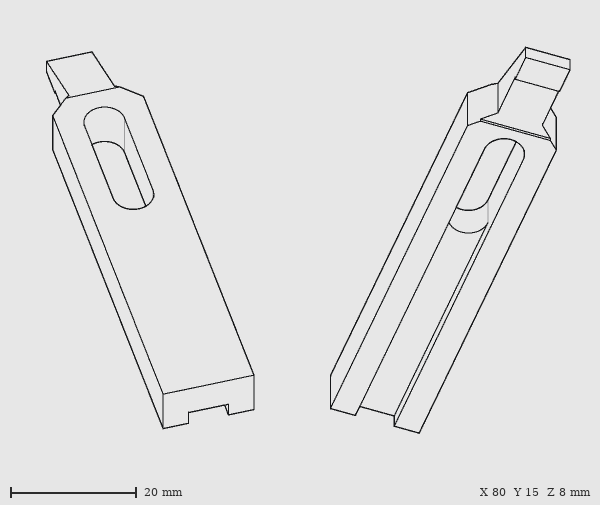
import cadquery as cq

length = 80.0
width = 15.0
height = 8.0

nose_width = width / 2
shoulder_end = 16.6
shoulder_run = (width - nose_width) / 2
shoulder_start = shoulder_end - shoulder_run

tip_height = 2.5
slope_end = 13.6

foot_length = 4.9
relief_end = 15.0
relief_depth = 0.5

slot_start = 17.0
slot_end = 40.0
slot_width = 6.6

groove_start = (slot_start + slot_end) / 2
groove_depth = 2.5


def side_profile():
    """Bar seen from the side: sloped nose, foot and relief."""
    return (
        cq.Workplane("XZ")
        .moveTo(0, 0)
        .lineTo(foot_length, 0)
        .lineTo(foot_length, relief_depth)
        .lineTo(relief_end, relief_depth)
        .lineTo(relief_end, 0)
        .lineTo(length, 0)
        .lineTo(length, height)
        .lineTo(slope_end, height)
        .lineTo(0, tip_height)
        .close()
        .extrude(width / 2, both=True)
    )


def plan_outline():
    """Bar seen from above: narrow nose, angled shoulders and full-width body."""
    half_outline = [
        (0, nose_width / 2),
        (shoulder_start, nose_width / 2),
        (shoulder_end, width / 2),
        (length, width / 2),
    ]
    mirrored_half = [(x, -y) for x, y in reversed(half_outline)]
    return cq.Workplane("XY").polyline(half_outline + mirrored_half).close().extrude(height)


def slot():
    """Rounded slot through the full height."""
    return (
        cq.Workplane("XY")
        .center((slot_start + slot_end) / 2, 0)
        .slot2D(slot_end - slot_start, slot_width)
        .extrude(height)
    )


def groove():
    """Open-ended groove in the bottom face, continuing the slot walls."""
    return (
        cq.Workplane("XY")
        .center(groove_start, 0)
        .box(length - groove_start, slot_width, groove_depth, centered=(False, True, False))
    )


result = side_profile().intersect(plan_outline()).cut(slot()).cut(groove())